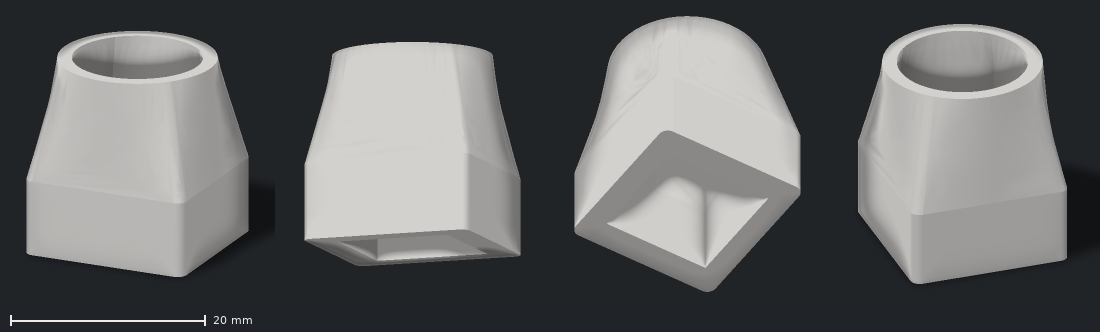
import cadquery as cq

length_x = 18.0
width_y = 17.0
height = 20.0

socket_height = 8.0
corner_radius = 1.0
socket_opening = 12.0

mouth_outer_diameter = 16.5
mouth_inner_diameter = 13.5

transition_height = height - socket_height


def straight_section(size_x, size_y):
    """Box standing on the base plane, as tall as the socket."""
    return cq.Workplane("XY").rect(size_x, size_y).extrude(socket_height)


def loft_to_mouth(socket_section, mouth_diameter):
    """Blend the top outline of the socket section into the round mouth."""
    return (
        socket_section.faces(">Z").wires().toPending()
        .workplane(offset=transition_height)
        .circle(mouth_diameter / 2)
        .loft(combine=True)
    )


outer_socket = straight_section(length_x, width_y).edges("|Z").fillet(corner_radius)
outer_body = loft_to_mouth(outer_socket, mouth_outer_diameter)

inner_socket = straight_section(socket_opening, socket_opening)
passage = loft_to_mouth(inner_socket, mouth_inner_diameter)

result = outer_body.cut(passage)